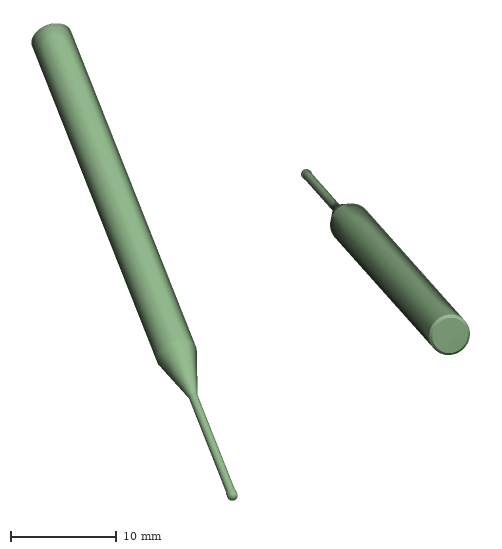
import cadquery as cq
import math

total_length = 63.0
shank_diameter = 4.0
shank_chamfer = 0.25
taper_start = 43.35
taper_end = 49.0
neck_diameter = 0.9
head_start = 62.1
head_diameter = 1.0

shank_radius = shank_diameter / 2
neck_radius = neck_diameter / 2
head_radius = head_diameter / 2

ball_center = total_length - head_radius
ball_mid_offset = head_radius * math.sqrt(0.5)

profile = (
    cq.Workplane("XY")
    .moveTo(0, 0)
    .lineTo(0, shank_radius - shank_chamfer)
    .lineTo(shank_chamfer, shank_radius)
    .lineTo(taper_start, shank_radius)
    .lineTo(taper_end, neck_radius)
    .lineTo(head_start, neck_radius)
    .lineTo(head_start, head_radius)
    .lineTo(ball_center, head_radius)
    .threePointArc((ball_center + ball_mid_offset, ball_mid_offset), (total_length, 0))
    .close()
)

result = profile.revolve(360, (0, 0, 0), (1, 0, 0))